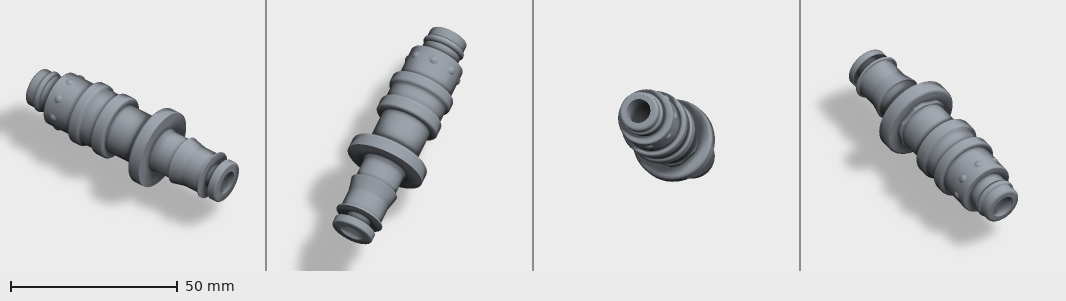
import cadquery as cq
import math

LENGTH = 70.3
BORE_R = 3.65

NOSE_R = 6.0
NOSE_ROUND = 0.9
GROOVE_START = 3.1
GROOVE_END = 5.4
GROOVE_R = 4.5

RING_OUTER_R = 6.55
RING_SECTION_R = (RING_OUTER_R - GROOVE_R) / 2
RING_X = GROOVE_START + RING_SECTION_R

COLLAR_START = 8.5
COLLAR_R = 16.95 / 2
COLLAR_ROUND = 0.5
DOME_COUNT = 8
DOME_X = 12.1
DOME_TOP_R = 9.0
DOME_SPHERE_R = 1.6
DOME_TURN = 2.6

RIBS_START = 18.5
RIBS_END = 31.1
RIB_R = 10.0
WAIST_R = 9.0
LEFT_RIB_WIDTH = 2.8
RIGHT_RIB_WIDTH = 3.3
RIB_EDGE_ROUND = 0.7
RIB_SLOPE = 1.7

SHANK_R = 7.8
HEX_START = 40.85
HEX_APOTHEM = 8.1
HEX_CORNER_R = 8.6
HEX_CHAMFER = 0.2
HEX_TURN = 9.0
FLANGE_START = 42.2
FLANGE_END = 46.5
FLANGE_R = 24.5 / 2
FLANGE_ROUND = 1.0

NECK_R = 6.55
NECK_FOOT_R = 7.0
NECK_FOOT_END = 47.7
BARB_START = 53.5
BARB_ROOT_ROUND = 0.35
BARB_FACE = BARB_START + BARB_ROOT_ROUND
BARB_EDGE = 0.2
BARB_END = 58.35
BARB_R = 7.5
RIM_START = 63.9
RIM_END = 64.95
RIM_R = 7.5
RIM_ROUND = 0.4

STEM_R = 7.5 / 2
CUP_START = 67.8
CUP_R = 6.55
CUP_ROUND = 0.55
CUP_INNER_R = 6.3
CUP_FLOOR = 69.75


def turned_body():
    """Revolve the stepped outline, from the left end to the right end."""
    land_left = RIBS_START + LEFT_RIB_WIDTH
    land_right = RIBS_END - RIGHT_RIB_WIDTH
    slope_mid_r = (RIB_R + WAIST_R) / 2
    half_slope = RIB_SLOPE / 2
    outline = (
        cq.Workplane("XY")
        .moveTo(0, BORE_R)
        .lineTo(0, NOSE_R - NOSE_ROUND)
        .radiusArc((NOSE_ROUND, NOSE_R), NOSE_ROUND)
        .lineTo(GROOVE_START, NOSE_R)
        .lineTo(GROOVE_START, GROOVE_R)
        .lineTo(GROOVE_END, GROOVE_R)
        .lineTo(GROOVE_END, NOSE_R)
        .lineTo(COLLAR_START, NOSE_R)
        .lineTo(COLLAR_START, COLLAR_R - COLLAR_ROUND)
        .radiusArc((COLLAR_START + COLLAR_ROUND, COLLAR_R), COLLAR_ROUND)
        .lineTo(RIBS_START, COLLAR_R)
        .lineTo(RIBS_START, RIB_R - RIB_EDGE_ROUND)
        .radiusArc((RIBS_START + RIB_EDGE_ROUND, RIB_R), RIB_EDGE_ROUND)
        .lineTo(land_left, RIB_R)
        .tangentArcPoint((land_left + half_slope, slope_mid_r), relative=False)
        .tangentArcPoint((land_left + RIB_SLOPE, WAIST_R), relative=False)
        .lineTo(land_right - RIB_SLOPE, WAIST_R)
        .tangentArcPoint((land_right - half_slope, slope_mid_r), relative=False)
        .tangentArcPoint((land_right, RIB_R), relative=False)
        .lineTo(RIBS_END - RIB_EDGE_ROUND, RIB_R)
        .radiusArc((RIBS_END, RIB_R - RIB_EDGE_ROUND), RIB_EDGE_ROUND)
        .lineTo(RIBS_END, SHANK_R)
        .lineTo(FLANGE_START, SHANK_R)
        .lineTo(FLANGE_START, FLANGE_R - FLANGE_ROUND)
        .radiusArc((FLANGE_START + FLANGE_ROUND, FLANGE_R), FLANGE_ROUND)
        .lineTo(FLANGE_END, FLANGE_R)
        .lineTo(FLANGE_END, NECK_FOOT_R)
        .lineTo(NECK_FOOT_END, NECK_R)
        .lineTo(BARB_START, NECK_R)
        .radiusArc((BARB_FACE, NECK_R + BARB_ROOT_ROUND), -BARB_ROOT_ROUND)
        .lineTo(BARB_FACE, BARB_R - BARB_EDGE)
        .lineTo(BARB_FACE + BARB_EDGE, BARB_R)
        .lineTo(BARB_END, NECK_R)
        .lineTo(RIM_START, NECK_R)
        .radiusArc((RIM_START + RIM_ROUND, NECK_R + RIM_ROUND), -RIM_ROUND)
        .lineTo(RIM_START + RIM_ROUND, RIM_R - RIM_ROUND)
        .radiusArc((RIM_START + 2 * RIM_ROUND, RIM_R), RIM_ROUND)
        .lineTo(RIM_END, RIM_R)
        .lineTo(RIM_END, STEM_R)
        .lineTo(CUP_FLOOR, STEM_R)
        .lineTo(CUP_FLOOR, CUP_INNER_R)
        .lineTo(CUP_START, CUP_INNER_R)
        .lineTo(CUP_START, CUP_R)
        .lineTo(LENGTH - CUP_ROUND, CUP_R)
        .radiusArc((LENGTH, CUP_R - CUP_ROUND), CUP_ROUND)
        .lineTo(LENGTH, BORE_R)
        .close()
    )
    return outline.revolve(360, (0, 0, 0), (1, 0, 0))


def hexagon():
    """Hexagon against the flange, its corners turned down and chamfered."""
    depth = FLANGE_START - HEX_START
    prism = (
        cq.Workplane("YZ", origin=(HEX_START, 0, 0))
        .polygon(6, 2 * HEX_APOTHEM, circumscribed=True)
        .circle(BORE_R)
        .extrude(depth)
        .rotate((0, 0, 0), (1, 0, 0), -HEX_TURN)
    )
    turned_corners = (
        cq.Workplane("YZ", origin=(HEX_START, 0, 0))
        .circle(HEX_CORNER_R)
        .extrude(depth)
        .faces("<X")
        .chamfer(HEX_CHAMFER)
    )
    return prism.intersect(turned_corners)


def dome(index):
    """One detent dome, a ball sunk into the collar wall."""
    angle = math.radians(180 - DOME_TURN + index * 360 / DOME_COUNT)
    centre_r = DOME_TOP_R - DOME_SPHERE_R
    centre = (DOME_X, centre_r * math.cos(angle), centre_r * math.sin(angle))
    return cq.Workplane("XY").sphere(DOME_SPHERE_R).translate(centre)


def make_coupling():
    coupling = turned_body().union(hexagon())
    for index in range(DOME_COUNT):
        coupling = coupling.union(dome(index))
    return coupling


def make_o_ring():
    return cq.Workplane("XY").add(
        cq.Solid.makeTorus(
            RING_OUTER_R - RING_SECTION_R,
            RING_SECTION_R,
            cq.Vector(RING_X, 0, 0),
            cq.Vector(1, 0, 0),
        )
    )


coupling = make_coupling()
o_ring = make_o_ring()

result = cq.Compound.makeCompound([coupling.val(), o_ring.val()])